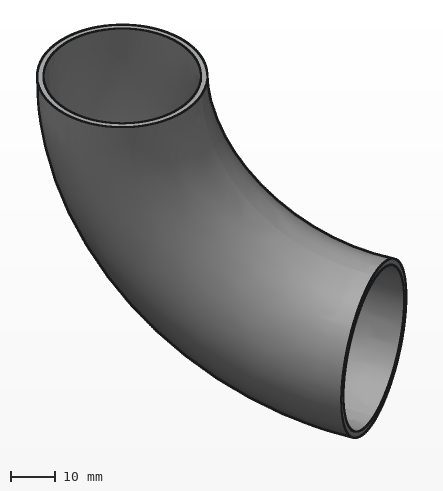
import cadquery as cq

bend_radius = 60.0
upper_diameter = 38.0
lower_diameter = 41.0
wall = 1.45

bend_angle = 90
bend_center_x = bend_radius


def bend_path():
    """Quarter-circle centreline in the XZ plane."""
    return cq.Workplane("XZ").radiusArc((bend_center_x, -bend_radius), -bend_radius)


def tapered_bend(start_diameter, end_diameter):
    """Solid bend whose round section changes evenly from one mouth to the other."""
    return (
        cq.Workplane("XY")
        .circle(start_diameter / 2)
        .transformed(rotate=(0, bend_angle, 0), offset=(bend_center_x, 0, -bend_radius))
        .circle(end_diameter / 2)
        .sweep(bend_path(), multisection=True)
    )


outer_body = tapered_bend(upper_diameter, lower_diameter)
bore = tapered_bend(upper_diameter - 2 * wall, lower_diameter - 2 * wall)

result = outer_body.cut(bore)